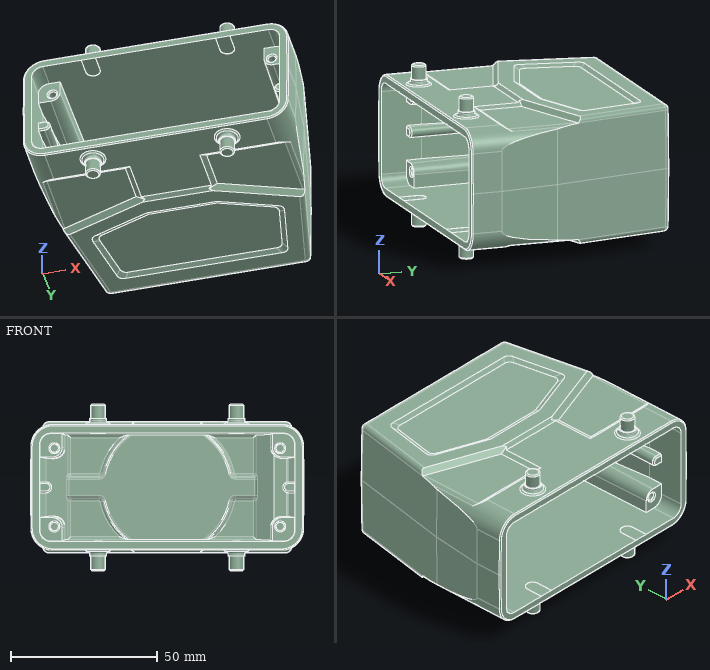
import cadquery as cq
import math


length = 76.0
half_width = 46.75
base_half_height = 21.5
raised_half_height = 22.4
base_corner_radius = 7.5
draft = 0.5
mouth_edge = 0.5
edge_radius = 1.9

slope_start_y = 10.9
kink_y = 32.1
kink_half_width = 44.3
back_half_width = 36.0
mouth_overrun = 4.7

vee_angle = 20.0
vee_half_flat = 12.3
vee_y = 31.1
step_run = 1.8

hollow_floor_z = 20.6
hollow_x = 14.3
hollow_y = 14.8
hollow_side_run = 2.0
hollow_front_run = 1.6
hollow_back_run = 2.0
hollow_edge_radius = 2.8
hollow_overshoot = 0.9

label_depth = 0.9
label_run = 1.9
label_top_y = 68.2
label_bottom_y = 36.9
label_side_gap = 7.8
label_corner_radius = 5.6

pin_x = 23.7
pin_y = 6.4
pin_radius = 2.5
pin_tip_z = 28.5
pin_chamfer = 0.5
pin_embed = 0.5
collar_radius = 2.9
collar_z = 23.5
flange_radius = 4.4
flange_bevel_radius = 3.7
flange_bevel = 0.5
collar_foot_z = 22.8

cavity_half_width = 43.7
cavity_half_height = 18.5
cavity_corner_radius = 3.9
cavity_draft = 0.55
cavity_depth = 72.9
side_wall = 2.8
back_fillet = 0.9
ledge_y = 35.5
ledge_x = 36.5
ledge_back_x = 30.2

pad_height = 2.8
pad_radius = 22.1
pad_half_band = 3.2
pad_draft = 15.0
pad_corner_radius = 1.9
pad_edge_radius = 0.6

boss_face_y = 9.1
boss_inner_x = 35.9
boss_inner_z = 10.4
boss_corner_radius = 3.3
boss_draft = 1.0
screw_x = 38.6
screw_z = 13.4
screw_radius = 1.4
screw_chamfer = 0.5
screw_depth = 11.2
rib_x = 41.4
rib_radius = 1.9
rib_chamfer = 0.6

side_slope = (kink_half_width - back_half_width) / (length - kink_y)
vee_slope = math.tan(math.radians(vee_angle))


def along_y(start_y):
    """Workplane that extrudes towards +Y."""
    return cq.Workplane(cq.Plane((0, start_y, 0), (1, 0, 0), (0, 1, 0)))


def both_faces(solid):
    return solid.union(solid.mirror("XY"))


def four_corners(solid):
    return both_faces(solid.union(solid.mirror("YZ")))


def mirrored_outline(right_points):
    """Right-hand points followed by their mirror images across X = 0."""
    return right_points + [(-x, y) for x, y in reversed(right_points)]


def vee_edge_y(x):
    return vee_y + vee_slope * (x - vee_half_flat)


def side_envelope():
    """Everything between the sloping sides and the back wall, with rounded edges."""
    front_slope = (half_width - kink_half_width) / (kink_y - slope_start_y)
    overrun_half_width = half_width + front_slope * (slope_start_y + mouth_overrun)
    plan = mirrored_outline([
        (overrun_half_width, -mouth_overrun),
        (kink_half_width, kink_y),
        (back_half_width, length),
    ])
    half = cq.Workplane("XY").polyline(plan).close().extrude(raised_half_height, taper=draft)
    half = half.edges("not #Z").edges(">Y").fillet(edge_radius)
    half = half.faces(">Z").edges("not <Y").fillet(edge_radius)
    return both_faces(half)


def base():
    half_width_at_top = half_width - base_half_height * math.tan(math.radians(draft))
    profile = [
        (half_width, 0),
        (half_width_at_top, base_half_height),
        (-half_width_at_top, base_half_height),
        (-half_width, 0),
        (-half_width_at_top, -base_half_height),
        (half_width_at_top, -base_half_height),
    ]
    body = along_y(0).polyline(profile).close().extrude(length)
    body = body.edges("|Y").edges(">Z or <Z").fillet(base_corner_radius)
    return body.faces("<Y").edges().chamfer(mouth_edge)


def raised_part():
    """Thicker rear part; a ramp leads down to the tongue between the hollows."""
    outline = mirrored_outline([
        (vee_half_flat, vee_y),
        (vee_half_flat, vee_y - step_run),
        (half_width, vee_edge_y(half_width) - step_run),
        (half_width, length),
    ])
    plate = cq.Workplane("XY").polyline(outline).close().extrude(raised_half_height, both=True)
    ramp = (
        cq.Workplane("YZ")
        .moveTo(vee_y - step_run, base_half_height)
        .lineTo(vee_y, raised_half_height)
        .lineTo(vee_y, base_half_height)
        .close()
        .extrude(vee_half_flat, both=True)
    )
    return plate.union(both_faces(ramp))


def hollow():
    """Sloped-wall hollow on the +X, +Z side, widening from its floor to above the surface."""
    def outline(rise):
        run = rise / (base_half_height - hollow_floor_z)
        inner_x = hollow_x - hollow_side_run * run
        front_y = hollow_y - hollow_front_run * run
        depth = raised_half_height - hollow_floor_z
        drop = hollow_back_run * (1 - rise / depth)
        return [
            (inner_x, front_y),
            (half_width, front_y),
            (half_width, vee_edge_y(half_width) - drop),
            (inner_x, vee_edge_y(inner_x) - drop),
        ]

    top_rise = raised_half_height - hollow_floor_z + hollow_overshoot
    return (
        cq.Workplane("XY", origin=(0, 0, hollow_floor_z)).polyline(outline(0)).close()
        .workplane(offset=top_rise).polyline(outline(top_rise)).close()
        .loft(ruled=True)
    )


def stepped_body():
    """Base with its raised rear part and the four hollows, their outer edges rounded."""
    body = base().union(raised_part()).cut(four_corners(hollow()))
    corner_rise = hollow_floor_z - (base_half_height - base_corner_radius)
    edge_x = half_width - base_corner_radius + math.sqrt(base_corner_radius ** 2 - corner_rise ** 2)
    for x in (-edge_x, edge_x):
        for z in (-hollow_floor_z, hollow_floor_z):
            floor_edge = cq.selectors.NearestToPointSelector((x, kink_y, z))
            body = body.edges(floor_edge).fillet(hollow_edge_radius)
    return body


def label_recess():
    """Sloped-wall recess in the +Z face, its sides parallel to the side walls."""
    def side_x(y):
        return kink_half_width - side_slope * (y - kink_y) - label_side_gap

    shoulder_x = (
        (side_x(label_bottom_y) + side_slope * vee_slope * vee_half_flat)
        / (1 + side_slope * vee_slope)
    )
    shoulder_y = label_bottom_y + vee_slope * (shoulder_x - vee_half_flat)
    outline = mirrored_outline([
        (vee_half_flat, label_bottom_y),
        (shoulder_x, shoulder_y),
        (side_x(label_top_y), label_top_y),
    ])
    wall_angle = math.degrees(math.atan2(label_run, label_depth))
    recess = (
        cq.Workplane("XY", origin=(0, 0, raised_half_height))
        .polyline(outline).close()
        .extrude(-label_depth, taper=wall_angle)
    )
    corners = recess.edges("not #Z").edges("not <Y")
    return corners.fillet(label_corner_radius)


def locking_pin():
    foot_z = cavity_half_height + pin_embed
    bevel_z = base_half_height + flange_bevel
    arc_middle = math.sqrt(0.5)
    profile = (
        cq.Workplane("XZ")
        .moveTo(0, foot_z)
        .lineTo(pin_radius, foot_z)
        .lineTo(flange_radius, base_half_height - flange_bevel)
        .lineTo(flange_radius, base_half_height)
        .lineTo(flange_bevel_radius, bevel_z)
        .threePointArc(
            (
                flange_bevel_radius - arc_middle * (flange_bevel_radius - collar_radius),
                collar_foot_z - arc_middle * (collar_foot_z - bevel_z),
            ),
            (collar_radius, collar_foot_z),
        )
        .lineTo(collar_radius, collar_z)
        .lineTo(pin_radius, collar_z)
        .lineTo(pin_radius, pin_tip_z - pin_chamfer)
        .lineTo(pin_radius - pin_chamfer, pin_tip_z)
        .lineTo(0, pin_tip_z)
        .close()
    )
    return profile.revolve(360, (0, 0), (0, 1)).translate((pin_x, pin_y, 0))


def pin_flat():
    """Flat on the drafted inner wall behind a pin, running out through the mouth."""
    return (
        cq.Workplane("XY")
        .moveTo(pin_x - pin_radius, 0)
        .lineTo(pin_x - pin_radius, pin_y)
        .threePointArc((pin_x, pin_y + pin_radius), (pin_x + pin_radius, pin_y))
        .lineTo(pin_x + pin_radius, 0)
        .close()
        .extrude(cavity_half_height)
    )


def back_pad():
    """Round pad with a cross band, standing on the back wall of the cavity."""
    start = along_y(cavity_depth - pad_height)
    disc = start.circle(pad_radius).extrude(pad_height)
    band = start.rect(2 * half_width, 2 * pad_half_band).extrude(pad_height)
    pad = disc.union(band)
    junctions = pad.edges("|Y").edges("not(<X or >X)")
    pad = junctions.fillet(pad_corner_radius)
    front_outline = pad.faces("<Y").wires().vals()
    drafted = start.add(front_outline).toPending().extrude(pad_height, taper=-pad_draft)
    return drafted.faces("<Y").edges().fillet(pad_edge_radius)


def cavity_space():
    """Drafted cavity between the side walls, with a ledge on the +X side only."""
    mouth = cq.Sketch().rect(2 * cavity_half_width, 2 * cavity_half_height)
    mouth = mouth.vertices().fillet(cavity_corner_radius)
    tunnel = along_y(0).placeSketch(mouth).extrude(cavity_depth, taper=cavity_draft)
    kink_x = kink_half_width - side_wall
    front_x = half_width - side_wall
    plan = [
        (-half_width, 0),
        (-front_x, slope_start_y),
        (-kink_x, kink_y),
        (side_slope * (cavity_depth - kink_y) - kink_x, cavity_depth),
        (ledge_back_x, cavity_depth),
        (ledge_x, ledge_y),
        (kink_x - side_slope * (ledge_y - kink_y), ledge_y),
        (kink_x, kink_y),
        (front_x, slope_start_y),
        (half_width, 0),
    ]
    limits = cq.Workplane("XY").polyline(plan).close().extrude(base_half_height, both=True)
    space = tunnel.intersect(limits).cut(back_pad())
    space = space.faces(">Y").edges().fillet(back_fillet)
    pad_front_y = cavity_depth - pad_height
    pad_front = space.faces(cq.selectors.NearestToPointSelector((0, pad_front_y, 0)))
    return pad_front.edges("<X or >X").fillet(back_fillet)


def screw_boss():
    """Boss in a +X corner, buried in the walls and widening towards the back."""
    width = half_width - boss_inner_x
    height = half_width - boss_inner_z
    outline = cq.Sketch().rect(width, height).vertices().fillet(boss_corner_radius)
    return (
        along_y(boss_face_y)
        .center(boss_inner_x + width / 2, boss_inner_z + height / 2)
        .placeSketch(outline)
        .extrude(cavity_depth - boss_face_y, taper=-boss_draft)
        .mirror("XY")
    )


def screw_hole():
    rim_radius = screw_radius + screw_chamfer
    profile = (
        cq.Workplane("XY")
        .lineTo(rim_radius, 0)
        .lineTo(screw_radius, screw_chamfer)
        .lineTo(screw_radius, screw_depth)
        .lineTo(0, screw_depth)
        .close()
    )
    return profile.revolve(360, (0, 0), (0, 1)).translate((screw_x, boss_face_y, screw_z))


def guide_rib():
    """Round-nosed rib on the +X side wall at mid height."""
    rib_length = cavity_depth - boss_face_y
    root = half_width - rib_x
    nose = along_y(boss_face_y).center(rib_x, 0).circle(rib_radius).extrude(rib_length)
    web = along_y(boss_face_y).center(rib_x + root / 2, 0).rect(root, 2 * rib_radius)
    web = web.extrude(rib_length)
    return nose.union(web).faces("<Y").chamfer(rib_chamfer)


def cavity():
    ribs = guide_rib().union(guide_rib().mirror("YZ"))
    space = cavity_space().cut(four_corners(screw_boss())).cut(ribs)
    return space.union(four_corners(pin_flat()))


result = (
    side_envelope()
    .intersect(stepped_body())
    .cut(both_faces(label_recess()))
    .cut(cavity())
    .union(four_corners(locking_pin()))
    .cut(four_corners(screw_hole()))
)